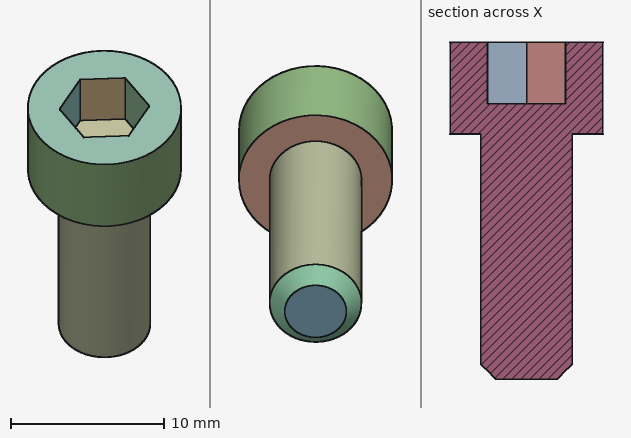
import cadquery as cq
import math

total_height = 22.0
head_diameter = 10.0
head_height = 6.0
shank_diameter = 6.0
tip_chamfer = 1.0
socket_across_flats = 5.08
socket_depth = 4.0

shank_length = total_height - head_height


def make_shank():
    shank = cq.Workplane("XY").circle(shank_diameter / 2).extrude(shank_length)
    return shank.faces("<Z").chamfer(tip_chamfer)


def make_head():
    return cq.Workplane("XY").workplane(offset=shank_length).circle(head_diameter / 2).extrude(head_height)


def make_socket():
    across_corners = socket_across_flats / math.cos(math.pi / 6)
    top = cq.Workplane("XY").workplane(offset=total_height)
    return top.polygon(6, across_corners).extrude(-socket_depth)


result = make_shank().union(make_head()).cut(make_socket())